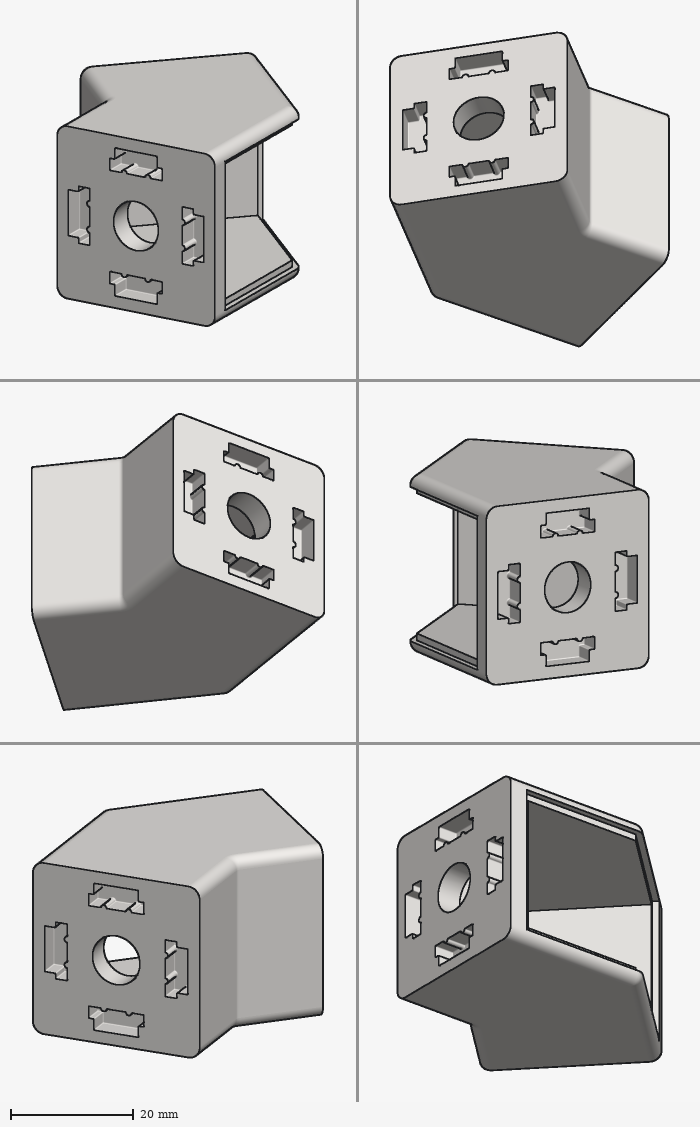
import cadquery as cq
import math

BEND_ANGLE = 45.0
TOTAL_LENGTH = 46.8
WIDTH = 30.0
HALF_WIDTH = WIDTH / 2
MITRE_ANGLE = math.radians(BEND_ANGLE / 2)
MITRE_SLOPE = math.tan(MITRE_ANGLE)

OUTER_LENGTH = TOTAL_LENGTH / (1 + math.cos(math.radians(BEND_ANGLE)))
AXIS_LENGTH = OUTER_LENGTH - HALF_WIDTH * MITRE_SLOPE
INNER_LENGTH = OUTER_LENGTH - WIDTH * MITRE_SLOPE

RIM_RADIUS = 2.0
OUTER_BEND_RADIUS = RIM_RADIUS
INNER_BEND_RADIUS = 1.0

END_WALL = 4.5
SIDE_WALL = 3.25
COVER_LIP = 1.15
COVER_DEPTH = 1.15

BORE_DIAMETER = 8.5

SOCKET_COUNT = 4
SOCKET_INNER = 8.8
SOCKET_SHOULDER = 10.9
SOCKET_OUTER = 12.85
SOCKET_WIDE = 9.92
SOCKET_NARROW = 8.0
SOCKET_DEPTH = 3.6
SOCKET_FILLET = 0.2
RIB_RADIUS = 0.5
RIB_SPACING = 4.5


def mitre_y(x):
    """Y of the mitre plane at a distance x from the leg axis."""
    return AXIS_LENGTH + x * MITRE_SLOPE


def mirror_to_second_leg(shape):
    """Mirror image of a first-leg shape across the mitre plane."""
    normal = cq.Vector(-math.sin(MITRE_ANGLE), math.cos(MITRE_ANGLE), 0)
    return shape.mirror(normal, (0, AXIS_LENGTH, 0))


def body():
    """Bent square bar with a rounded bend and rounded long edges."""
    first_half = (
        cq.Workplane("XY", origin=(0, 0, -HALF_WIDTH))
        .polyline(
            [
                (-HALF_WIDTH, 0),
                (HALF_WIDTH, 0),
                (HALF_WIDTH, OUTER_LENGTH),
                (-HALF_WIDTH, INNER_LENGTH),
            ]
        )
        .close()
        .extrude(WIDTH)
    )
    bar = first_half.union(mirror_to_second_leg(first_half)).clean()

    def bend_edge(x, y):
        return cq.selectors.NearestToPointSelector((x, y, 0))

    bar = bar.edges("|Z").edges(bend_edge(-HALF_WIDTH, INNER_LENGTH)).fillet(INNER_BEND_RADIUS)
    bar = bar.edges("|Z").edges(bend_edge(HALF_WIDTH, OUTER_LENGTH)).fillet(OUTER_BEND_RADIUS)
    return bar.faces(">Z or <Z").edges("not (<Y or <(1, -1, 0))").fillet(RIM_RADIUS)


def opening(inner_x, start_y, half_height):
    """Box from a given depth outwards through the outer side, cut off at the mitre."""
    outer_x = WIDTH
    return (
        cq.Workplane("XY", origin=(0, 0, -half_height))
        .polyline(
            [
                (inner_x, start_y),
                (outer_x, start_y),
                (outer_x, mitre_y(outer_x)),
                (inner_x, mitre_y(inner_x)),
            ]
        )
        .close()
        .extrude(2 * half_height)
    )


def cavity():
    """Half of the hollow inside the bend, with the wider recess for its cover."""
    half_size = HALF_WIDTH - SIDE_WALL
    hollow = opening(-half_size, END_WALL, half_size)
    cover_recess = opening(HALF_WIDTH - COVER_DEPTH, END_WALL - COVER_LIP, half_size + COVER_LIP)
    return hollow.union(cover_recess)


def bore():
    """Round hole that runs through the end wall and stops inside the cavity."""
    return cq.Workplane("XZ").circle(BORE_DIAMETER / 2).extrude(-2 * END_WALL)


def socket():
    """Blind T-shaped socket above the bore, with two round ribs along its inner wall."""
    half_wide = SOCKET_WIDE / 2
    half_narrow = SOCKET_NARROW / 2
    profile = cq.Workplane("XZ").moveTo(-half_wide, SOCKET_INNER)
    for rib_x in (-RIB_SPACING / 2, RIB_SPACING / 2):
        profile = profile.lineTo(rib_x - RIB_RADIUS, SOCKET_INNER).threePointArc(
            (rib_x, SOCKET_INNER + RIB_RADIUS), (rib_x + RIB_RADIUS, SOCKET_INNER)
        )
    return (
        profile.lineTo(half_wide, SOCKET_INNER)
        .lineTo(half_wide, SOCKET_SHOULDER)
        .lineTo(half_narrow, SOCKET_SHOULDER)
        .lineTo(half_narrow, SOCKET_OUTER)
        .lineTo(-half_narrow, SOCKET_OUTER)
        .lineTo(-half_narrow, SOCKET_SHOULDER)
        .lineTo(-half_wide, SOCKET_SHOULDER)
        .close()
        .extrude(-SOCKET_DEPTH)
        .edges("not <Y")
        .fillet(SOCKET_FILLET)
    )


def leg_cutouts():
    """List of the solids removed from the first leg."""
    cutouts = [cavity().union(bore()).val()]
    for index in range(SOCKET_COUNT):
        angle = index * 360 / SOCKET_COUNT
        cutouts.append(socket().val().rotate((0, 0, 0), (0, 1, 0), angle))
    return cutouts


result = body()
for cutout in leg_cutouts():
    result = result.cut(cq.Workplane(cutout))
    result = result.cut(cq.Workplane(mirror_to_second_leg(cutout)))